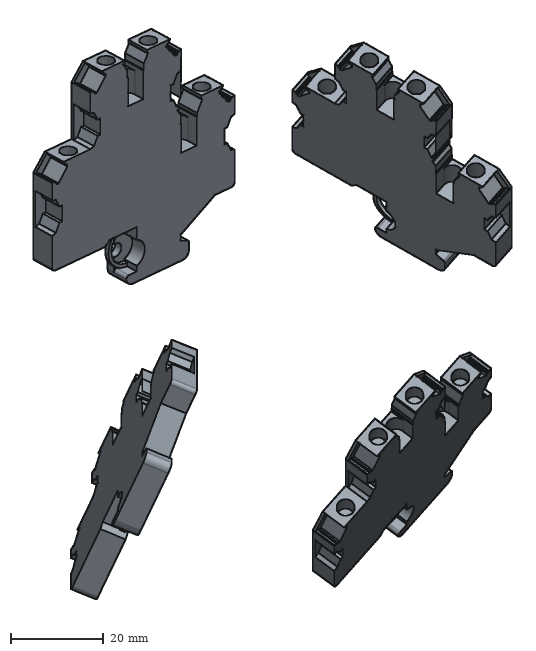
import cadquery as cq

thickness = 6.0
length = 54.0
height = 57.0
side_wall = 0.7

lower_base_z = 12.5
front_shelf_z = 38.8
back_shelf_z = 39.1
tower_front_y = 11.3
tower_back_y = 38.2
tower_back_lip_y = 34.9
tower_root_y = 38.05
bevel_run = 3.4
bevel_drop = 3.95
base_corner_radius = 1.0
catch_y = 37.05
catch_top_z = 40.95
catch_ramp = 0.75

foot_front_y = 21.95
foot_back_y = 40.5
foot_neck_y = 38.05
foot_corner_radius = 1.9
hook_radius = 0.6
hook_z = 4.2
neck_bottom_z = 5.05
neck_top_z = 6.6
brace_y = 48.15
underside_z = 13.75
ramp_y = 15.8

notch_floor_width = 4.5
notch_step = 0.17
notch_step_height = 1.25
notch_lip_height = 5.0
notch_lip_undercut = 0.3
upper_notch_y = 24.7
upper_notch_floor_z = 51.1
lower_notch_y = 40.45
lower_notch_floor_z = 33.1
channel_radius = notch_floor_width / 2
channel_end_x = 1.0
channel_centre_x = channel_end_x + channel_radius
channel_depth = 6.0

screw_diameter = 3.9
screw_x = 3.25
screw_depth = 5.0
screw_seats = [(7.3, front_shelf_z), (18.5, height), (31.0, height), (46.75, back_shelf_z)]

opening_half_height = 4.5
opening_throat_half_height = 2.0
opening_depth = 3.0
opening_rim_depth = 1.1
opening_rim_drop = 0.37
opening_funnel_depth = 2.2
upper_opening_z = 43.28
lower_opening_z = 26.03

foot_web = 2.0
spring_width = 1.05
spring_outer_radius = 5.4
spring_inner_radius = 4.5
spring_y = 24.8
spring_z = 8.1
release_slot_z = 7.28
release_slot_radius = 1.65
release_slot_end_y = 24.2
recess_back_y = 25.0
recess_floor_z = 2.62
toe_radius = 0.75
relief_radius = 3.4
relief_y = 24.0


def prism(points, x_start, x_end):
    """Closed Y-Z polygon extruded along X."""
    return cq.Workplane("YZ", origin=(x_start, 0, 0)).polyline(points).close().extrude(x_end - x_start)


def x_cylinder(y, z, radius, x_start, x_end):
    return cq.Workplane("YZ", origin=(x_start, 0, 0)).center(y, z).circle(radius).extrude(x_end - x_start)


def notch_side(centre_y, floor_z, outward, knee_height, lip_offset, top_z):
    """One wall of a marker notch from floor to top; outward is its Y direction from the centre.

    The wall rises to a knee, flares out by lip_offset and ends in an undercut lip.
    """
    offsets = [
        (0, 0),
        (0, notch_step_height - 0.05),
        (notch_step, notch_step_height + 0.05),
        (notch_step, knee_height),
        (lip_offset, notch_lip_height),
        (lip_offset - notch_lip_undercut, notch_lip_height + 0.1),
        (lip_offset - notch_lip_undercut, top_z - floor_z),
    ]
    wall_y = centre_y + outward * notch_floor_width / 2
    return [(wall_y + outward * dy, floor_z + dz) for dy, dz in offsets]


def make_housing():
    outline = [
        (foot_front_y, 0),
        (foot_front_y, underside_z),
        (ramp_y + underside_z - lower_base_z, underside_z),
        (ramp_y, lower_base_z),
        (0, lower_base_z),
        (0, front_shelf_z - bevel_drop),
        (bevel_run, front_shelf_z),
        (tower_front_y, front_shelf_z),
        (tower_front_y, height - bevel_drop),
        (tower_front_y + bevel_run, height),
        *notch_side(upper_notch_y, upper_notch_floor_z, -1, 3.0, 1.35, height)[::-1],
        *notch_side(upper_notch_y, upper_notch_floor_z, 1, 2.9, 1.4, height),
        (tower_back_lip_y, height),
        (tower_back_y, height - bevel_drop),
        (tower_root_y, catch_top_z),
        (catch_y, catch_top_z - catch_ramp),
        (catch_y, back_shelf_z),
        *notch_side(lower_notch_y, lower_notch_floor_z, -1, 3.75, 1.0, back_shelf_z)[::-1],
        *notch_side(lower_notch_y, lower_notch_floor_z, 1, 2.1, 1.7, back_shelf_z),
        (length - bevel_run, back_shelf_z),
        (length, back_shelf_z - bevel_drop),
        (length, lower_base_z),
        (brace_y, lower_base_z),
        (foot_neck_y, neck_top_z),
        (foot_neck_y, neck_bottom_z),
        (foot_back_y, hook_z),
        (foot_back_y, 0),
    ]
    rounded_corners = [
        (0, lower_base_z, base_corner_radius),
        (length, lower_base_z, base_corner_radius),
        (foot_front_y, 0, foot_corner_radius),
        (foot_back_y, 0, foot_corner_radius),
        (foot_back_y, hook_z, hook_radius),
    ]
    housing = prism(outline, 0, thickness)
    for y, z, radius in rounded_corners:
        corner = cq.NearestToPointSelector((thickness / 2, y, z))
        housing = housing.edges(corner).fillet(radius)
    return housing


def bevel_slot(lip_y, lip_z, inward):
    """Slot along a bevel, undercut at its top; inward is the Y direction into the body."""
    offsets = [
        (0, 0),
        (0.5, -0.75),
        (1.1, -1.15),
        (1.1, -1.6),
        (-1.5, -4.8),
        (-2.0, -4.8),
        (-2.1, -4.4),
        (-2.45, -4.3),
        (-2.6, -4.1),
        (-3.25, -3.78),
        (-bevel_run, -bevel_drop),
        (-bevel_run, 0),
    ]
    points = [(lip_y + inward * dy, lip_z + dz) for dy, dz in offsets]
    return prism(points, side_wall, thickness)


def wire_opening(face_y, centre_z, inward):
    """Funnel-shaped wire opening, symmetric about its centre height."""
    half_profile = [
        (0, opening_half_height),
        (opening_rim_depth, opening_half_height - opening_rim_drop),
        (opening_funnel_depth, opening_throat_half_height),
        (opening_depth, opening_throat_half_height),
    ]
    upper = [(face_y + inward * dy, centre_z + dz) for dy, dz in half_profile]
    lower = [(face_y + inward * dy, centre_z - dz) for dy, dz in reversed(half_profile)]
    return prism(upper + lower, side_wall, thickness)


def screw_hole(y, top_z):
    hole = cq.Workplane("XY", origin=(screw_x, y, top_z)).circle(screw_diameter / 2)
    return hole.extrude(-screw_depth)


def notch_channel(y, floor_z):
    """Round-ended channel sunk into a notch floor and open on the +X side."""
    plane = cq.Workplane("XY", origin=(0, y, floor_z))
    round_end = plane.center(channel_centre_x, 0).circle(channel_radius).extrude(-channel_depth)
    run = thickness - channel_centre_x
    straight = plane.center(channel_centre_x + run / 2, 0).rect(run, 2 * channel_radius)
    return round_end.union(straight.extrude(-channel_depth))


def release_slot():
    centre_y = release_slot_end_y - release_slot_radius
    low = release_slot_z - release_slot_radius
    high = release_slot_z + release_slot_radius
    mouth = prism(
        [(foot_front_y, low), (centre_y, low), (centre_y, high), (foot_front_y, high)], 0, foot_web
    )
    return mouth.union(x_cylinder(centre_y, release_slot_z, release_slot_radius, 0, foot_web))


def spring_recess():
    recess = (
        cq.Workplane("YZ", origin=(foot_web, 0, 0))
        .moveTo(foot_front_y, recess_floor_z - toe_radius)
        .radiusArc((foot_front_y + toe_radius, recess_floor_z), toe_radius)
        .lineTo(recess_back_y, recess_floor_z)
        .lineTo(recess_back_y, underside_z)
        .lineTo(foot_front_y, underside_z)
        .close()
        .extrude(thickness - foot_web)
    )
    return recess.union(x_cylinder(relief_y, release_slot_z, relief_radius, foot_web, thickness))


def rail_spring():
    x_end = foot_web + spring_width
    outer = x_cylinder(spring_y, spring_z, spring_outer_radius, foot_web, x_end)
    return outer.cut(x_cylinder(spring_y, spring_z, spring_inner_radius, foot_web, x_end))


result = make_housing()

for lip_y, lip_z, inward in [
    (bevel_run, front_shelf_z, 1),
    (tower_front_y + bevel_run, height, 1),
    (tower_back_lip_y, height, -1),
    (length - bevel_run, back_shelf_z, -1),
]:
    result = result.cut(bevel_slot(lip_y, lip_z, inward))

for face_y, centre_z, inward in [
    (0, lower_opening_z, 1),
    (tower_front_y, upper_opening_z, 1),
    (tower_root_y, upper_opening_z, -1),
    (length, lower_opening_z, -1),
]:
    result = result.cut(wire_opening(face_y, centre_z, inward))

for y, top_z in screw_seats:
    result = result.cut(screw_hole(y, top_z))

for y, floor_z in [(upper_notch_y, upper_notch_floor_z), (lower_notch_y, lower_notch_floor_z)]:
    result = result.cut(notch_channel(y, floor_z))

result = result.cut(release_slot()).cut(spring_recess()).union(rail_spring())